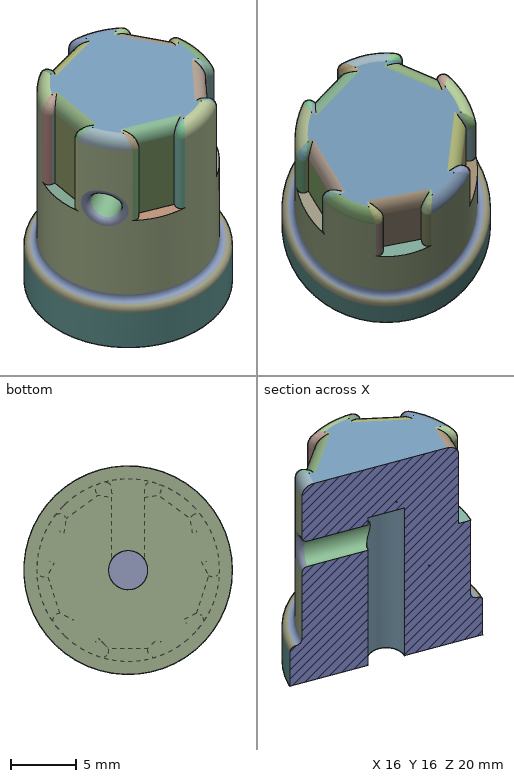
import cadquery as cq
import math

height = 20
base_radius = 8
body_radius = 7

base_height = 4
base_round = 0.5

crown_round = 1

pocket_count = 5
pocket_floor = 12
flat_distance = 6
pocket_half_width = 1.5
ridge_round = 0.5

hole_height = 13
hole_radius = 1.25
hole_mouth_round = 0.5

bore_radius = 1.5
bore_depth = 15


def make_body():
    """Stepped round body with a rounded top edge."""
    straight_rim = base_height - base_round
    blend_top = base_height + base_round
    diagonal = base_round * math.sqrt(0.5)
    rim_center = base_radius - base_round
    body = (
        cq.Workplane("XZ")
        .lineTo(base_radius, 0)
        .lineTo(base_radius, straight_rim)
        .threePointArc((rim_center + diagonal, straight_rim + diagonal), (rim_center, base_height))
        .threePointArc((rim_center - diagonal, blend_top - diagonal), (body_radius, blend_top))
        .lineTo(body_radius, height)
        .lineTo(0, height)
        .close()
        .revolve(360, (0, 0, 0), (0, 1, 0))
    )
    return body.faces(">Z").edges().fillet(crown_round)


def make_pocket(angle):
    """Pocket cutter whose floor flat and two side walls flare outward at the crown."""
    shoulder = height - crown_round
    arc_inset = crown_round * (1 - math.sqrt(0.5))
    arc_height = height - arc_inset
    reach = base_radius

    between_walls = (
        cq.Workplane("XZ")
        .moveTo(-pocket_half_width, pocket_floor)
        .lineTo(pocket_half_width, pocket_floor)
        .lineTo(pocket_half_width, shoulder)
        .threePointArc(
            (pocket_half_width + arc_inset, arc_height), (pocket_half_width + crown_round, height)
        )
        .lineTo(-pocket_half_width - crown_round, height)
        .threePointArc((-pocket_half_width - arc_inset, arc_height), (-pocket_half_width, shoulder))
        .close()
        .extrude(-reach)
    )
    outside_flat = (
        cq.Workplane("YZ")
        .moveTo(flat_distance, pocket_floor)
        .lineTo(reach, pocket_floor)
        .lineTo(reach, height)
        .lineTo(flat_distance - crown_round, height)
        .threePointArc((flat_distance - arc_inset, arc_height), (flat_distance, shoulder))
        .close()
        .extrude(reach, both=True)
    )
    pocket = between_walls.intersect(outside_flat)
    return pocket.rotate((0, 0, 0), (0, 0, 1), angle)


def round_ridges(body):
    """Round the outer edges of the pocket walls, carrying on over the crown."""
    ridge_low = (-base_radius, -base_radius, pocket_floor)
    ridge_high = (base_radius, base_radius, height)
    pocket_edges = body.edges("|Z").edges(cq.selectors.BoxSelector(ridge_low, ridge_high))
    wall_radius = math.hypot(pocket_half_width, flat_distance)
    mid_radius = (wall_radius + body_radius) / 2
    ridges = pocket_edges.filter(
        lambda edge: math.hypot(edge.Center().x, edge.Center().y) > mid_radius
    )
    return ridges.fillet(ridge_round)


def drill_side_hole(body):
    """Drill from -Y to the axis and round the mouth of the hole."""
    drill = cq.Workplane("XZ", origin=(0, 0, hole_height)).circle(hole_radius).extrude(base_radius)
    drilled = body.cut(drill)
    mouth_low = (-hole_radius, -base_radius, hole_height - hole_radius)
    mouth_high = (hole_radius, -flat_distance, hole_height + hole_radius)
    mouth = drilled.edges(cq.selectors.BoxSelector(mouth_low, mouth_high))
    return mouth.fillet(hole_mouth_round)


def cut_shaft_bore(body):
    """Blind bore along the axis, reaching past the side hole."""
    return body.cut(cq.Workplane("XY").circle(bore_radius).extrude(bore_depth))


result = make_body()
for index in range(pocket_count):
    result = result.cut(make_pocket(index * 360 / pocket_count))
result = round_ridges(result)
result = drill_side_hole(result)
result = cut_shaft_bore(result)